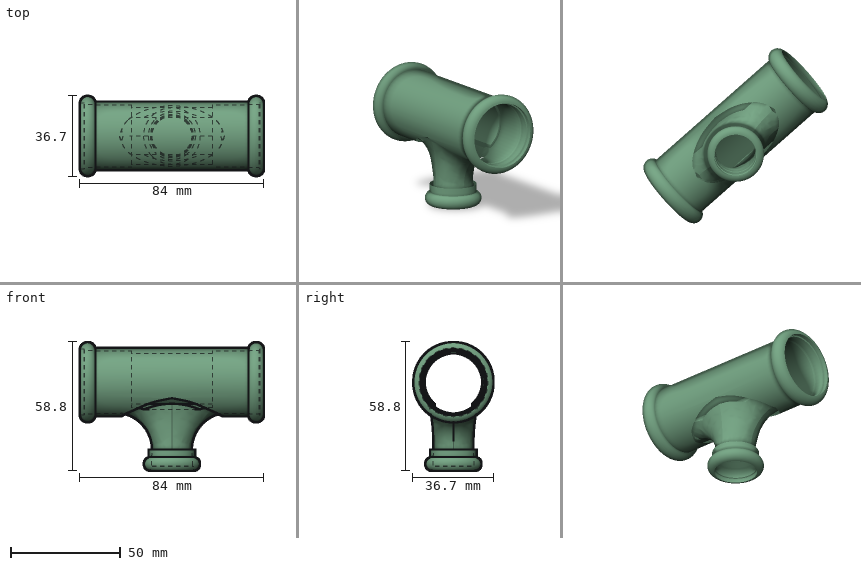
import cadquery as cq
import math

run_length = 84.0
bead_diameter = 36.7
total_height = 58.8
branch_depth = total_height - bead_diameter / 2

run_outer_diameter = 31.4
run_bore_diameter = 28.4
run_socket_diameter = 28.8
run_bead_width = 7.3
run_lip_diameter = 30.1

branch_outer_diameter = 21.4
branch_bore_diameter = 18.3
branch_socket_diameter = 18.7
branch_bead_diameter = 25.8
branch_bead_width = 6.5
branch_lip_diameter = 19.6

wall = (run_outer_diameter - run_bore_diameter) / 2
flare_half_length = 25.1
flare_half_width = 14.3
flare_collar_depth = 30.6
flare_end_fullness = 0.55
flare_side_fullness = 0.7
flare_embed = 0.04
flare_core_scale = 0.7
flare_core_depth = 1.7
contact_steps = 12
surface_steps = 5

lip_depth = 2.0
lip_cone_end = 2.3
socket_depth = 6.4
socket_cone_end = 7.3

stop_diameter = 26.1
stop_length = 37.0
stop_gap_width = 16.8


def x_cylinder(diameter, length):
    """Cylinder on the X axis, centred on the branch axis."""
    return cq.Workplane("YZ").circle(diameter / 2).extrude(length / 2, both=True)


def flare_profile(angle, run_radius, branch_radius, half_width):
    """Control points of the flare curve at one angle around the branch.

    The curve leaves the run along its tangent plane and ends parallel to the branch.
    """
    contact_y = half_width * math.sin(angle)
    contact_z = -math.sqrt(run_radius**2 - contact_y**2)
    contact = cq.Vector(flare_half_length * math.cos(angle), contact_y, contact_z)
    collar_x = branch_radius * math.cos(angle)
    collar_y = branch_radius * math.sin(angle)
    collar = cq.Vector(collar_x, collar_y, -flare_collar_depth)
    corner_z = (run_radius**2 - collar_y * contact_y) / contact_z
    corner = cq.Vector(collar_x, collar_y, corner_z)
    fullness = flare_end_fullness * math.cos(angle) ** 2 + flare_side_fullness * math.sin(angle) ** 2
    near_run = contact + (corner - contact) * fullness
    near_branch = collar + (corner - collar) * fullness
    return [contact, near_run, near_branch, collar]


def bezier_point(points, t):
    """Point on a cubic Bezier curve."""
    s = 1 - t
    first, second, third, fourth = points
    return first * s**3 + second * (3 * s * s * t) + third * (3 * s * t * t) + fourth * t**3


def quarter_arc(half_x, half_y, z):
    """Quarter ellipse from the X axis to the Y axis at height z."""
    angles = [math.pi / 2 * i / contact_steps for i in range(contact_steps + 1)]
    points = [cq.Vector(half_x * math.cos(a), half_y * math.sin(a), z) for a in angles]
    return cq.Edge.makeSpline(points)


def flare(run_diameter, branch_diameter, half_width):
    """Solid flare between the run and the branch, made of four mirrored quarters."""
    run_radius = run_diameter / 2 - flare_embed
    branch_radius = branch_diameter / 2

    def profile(fraction):
        return flare_profile(math.pi / 2 * fraction, run_radius, branch_radius, half_width)

    contact = cq.Edge.makeSpline([profile(i / contact_steps)[0] for i in range(contact_steps + 1)])
    collar = quarter_arc(branch_radius, branch_radius, -flare_collar_depth)
    end_curve = cq.Edge.makeBezier(profile(0))
    side_curve = cq.Edge.makeBezier(profile(1))
    steps = [i / surface_steps for i in range(1, surface_steps)]
    inner_points = [bezier_point(profile(u), t) for u in steps for t in steps]
    skin = cq.Face.makeNSidedSurface([contact, side_curve, collar, end_curve], inner_points)

    core_x = flare_half_length * flare_core_scale
    core_y = half_width * flare_core_scale
    core = quarter_arc(core_x, core_y, -flare_core_depth)
    roof = cq.Face.makeRuledSurface(contact, core)
    quarter = [skin, roof]
    for edge, half_x, half_y, z in (
        (core, core_x, core_y, -flare_core_depth),
        (collar, branch_radius, branch_radius, -flare_collar_depth),
    ):
        centre = cq.Vector(0, 0, z)
        spokes = [
            cq.Edge.makeLine(centre, cq.Vector(half_x, 0, z)),
            cq.Edge.makeLine(cq.Vector(0, half_y, z), centre),
        ]
        quarter.append(cq.Face.makeFromWires(cq.Wire.assembleEdges([spokes[0], edge, spokes[1]])))
    half = quarter + [face.mirror("YZ") for face in quarter]
    faces = half + [face.mirror("XZ") for face in half]
    return cq.Workplane(cq.Solid.makeSolid(cq.Shell.makeShell(faces)).fix())


def tee(run_diameter, branch_diameter, half_width):
    """Run cylinder and branch cylinder joined by the flare.

    Both cylinders stop halfway through the end beads.
    """
    branch = (
        cq.Workplane("XY")
        .workplane(offset=-flare_collar_depth)
        .circle(branch_diameter / 2)
        .extrude(flare_collar_depth - branch_depth + branch_bead_width / 2)
    )
    body = x_cylinder(run_diameter, run_length - run_bead_width)
    return body.union(flare(run_diameter, branch_diameter, half_width)).union(branch)


def bead(diameter, lip_diameter, width):
    """Collar with a rim rounded by a single arc, rising from an open end at Z = 0."""
    rim_base = lip_diameter / 2
    return (
        cq.Workplane("XZ")
        .lineTo(rim_base, 0)
        .threePointArc((diameter / 2, width / 2), (rim_base, width))
        .lineTo(0, width)
        .close()
        .revolve(360, (0, 0, 0), (0, 1, 0))
    )


def socket(lip_diameter, socket_diameter, bore_diameter):
    """Stepped entry cavity rising from an open end at Z = 0."""
    profile = [
        (0, 0),
        (lip_diameter / 2, 0),
        (lip_diameter / 2, lip_depth),
        (socket_diameter / 2, lip_cone_end),
        (socket_diameter / 2, socket_depth),
        (bore_diameter / 2, socket_cone_end),
        (0, socket_cone_end),
    ]
    return cq.Workplane("XZ").polyline(profile).close().revolve(360, (0, 0, 0), (0, 1, 0))


def at_run_ends(shape):
    """Two copies of an end feature, one on each end of the run."""
    left = shape.rotate((0, 0, 0), (0, 1, 0), 90).translate((-run_length / 2, 0, 0))
    return left.union(left.mirror("YZ"))


def at_branch_end(shape):
    return shape.translate((0, 0, -branch_depth))


def tube_stop():
    """Ring that narrows the middle of the run, with a gap over the branch."""
    ring = x_cylinder(run_bore_diameter + wall, stop_length)
    ring = ring.cut(x_cylinder(stop_diameter, stop_length))
    gap = cq.Workplane("XY").rect(stop_length, stop_gap_width).extrude(-run_outer_diameter)
    return ring.cut(gap)


cavity = tee(run_bore_diameter, branch_bore_diameter, flare_half_width - wall)
run_bead = bead(bead_diameter, run_lip_diameter, run_bead_width)
branch_bead = bead(branch_bead_diameter, branch_lip_diameter, branch_bead_width)
run_socket = socket(run_lip_diameter, run_socket_diameter, run_bore_diameter)
branch_socket = socket(branch_lip_diameter, branch_socket_diameter, branch_bore_diameter)

outside = tee(run_outer_diameter, branch_outer_diameter, flare_half_width)
outside = outside.union(at_run_ends(run_bead)).union(at_branch_end(branch_bead))

passages = cavity.union(at_run_ends(run_socket)).union(at_branch_end(branch_socket))
passages = passages.cut(tube_stop())
result = outside.cut(passages)